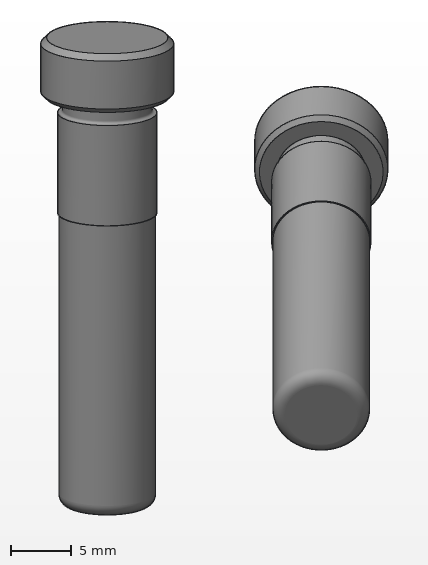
import cadquery as cq
import math


overall_length = 40.0
head_diameter = 11.0
head_height = 5.0
head_top_chamfer = 0.5
head_underside_chamfer = 0.4
neck_diameter = 7.4
neck_length = 1.4
neck_fillet = 0.25
fit_diameter = 8.2
fit_end_from_top = 15.0
body_diameter = 8.0
tip_fillet = 1.0

head_radius = head_diameter / 2
neck_radius = neck_diameter / 2
fit_radius = fit_diameter / 2
body_radius = body_diameter / 2

head_top = head_height
tip_bottom = head_top - overall_length
shoulder_top = -neck_length
fit_bottom = head_top - fit_end_from_top

arc_mid_inset = 1 - math.sqrt(0.5)


def make_pin():
    """Revolve the half profile, drawn from the head's top centre down to the tip."""
    profile = (
        cq.Workplane("XZ")
        .moveTo(0, head_top)
        .lineTo(head_radius - head_top_chamfer, head_top)
        .lineTo(head_radius, head_top - head_top_chamfer)
        .lineTo(head_radius, head_underside_chamfer)
        .lineTo(head_radius - head_underside_chamfer, 0)
        .lineTo(neck_radius, 0)
        .lineTo(neck_radius, shoulder_top + neck_fillet)
        .threePointArc(
            (neck_radius + neck_fillet * arc_mid_inset, shoulder_top + neck_fillet * arc_mid_inset),
            (neck_radius + neck_fillet, shoulder_top),
        )
        .lineTo(fit_radius, shoulder_top)
        .lineTo(fit_radius, fit_bottom)
        .lineTo(body_radius, fit_bottom)
        .lineTo(body_radius, tip_bottom + tip_fillet)
        .threePointArc(
            (body_radius - tip_fillet * arc_mid_inset, tip_bottom + tip_fillet * arc_mid_inset),
            (body_radius - tip_fillet, tip_bottom),
        )
        .lineTo(0, tip_bottom)
        .close()
    )
    return profile.revolve(360, (0, 0, 0), (0, 1, 0))


result = make_pin()